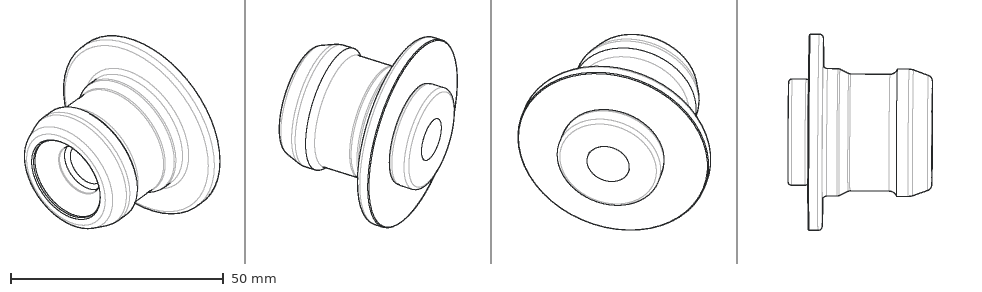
import cadquery as cq
import math

total_length = 33.8
flange_front = 25.7
flange_back = 29.0
collar_cone_start = 22.0
bead_back = 8.25
nose_start = 5.0

flange_radius = 23.1
collar_radius = 15.0
waist_radius = 13.75
spigot_radius = 12.5

nose_angle = 20.0
collar_cone_length = 2.5

flange_front_round = 1.0
flange_back_chamfer = 0.25
collar_root_round = 1.0
waist_blend = 1.0
nose_blend = 3.0
front_edge_round = 1.52
shoulder_round = 1.85
spigot_round = 0.85
relief_length = 0.75
relief_depth = 0.15
relief_land = 0.2

mouth_radius = 10.6
mouth_chamfer = 0.32
mouth_depth = 0.85
seat_radius = 6.25
bore_radius = 5.15
funnel_depth = 4.9
seat_depth = 6.85
seat_edge_round = 0.32
bore_start = 7.6

nose_radius = collar_radius - nose_start * math.tan(math.radians(nose_angle))
collar_cone_end = collar_cone_start - collar_cone_length
shoulder_rise = collar_radius - waist_radius
shoulder_length = math.sqrt(shoulder_round**2 - (shoulder_round - shoulder_rise) ** 2)
shoulder_start = bead_back + shoulder_length
shoulder_half_angle = math.asin(shoulder_length / shoulder_round) / 2
shoulder_mid = (
    waist_radius + shoulder_round * (1 - math.cos(shoulder_half_angle)),
    shoulder_start - shoulder_round * math.sin(shoulder_half_angle),
)


def revolve_profile(profile):
    """Revolve a closed XY profile about the Y axis."""
    return profile.close().revolve(360, (0, 0, 0), (0, 1, 0))


def round_rings(body, rings, size):
    """Fillet the circular edges lying at the given (radius, y) corners."""
    tolerance = 0.005
    for radius, y in rings:
        box = cq.selectors.BoxSelector(
            (-radius - tolerance, y - tolerance, -radius - tolerance),
            (radius + tolerance, y + tolerance, radius + tolerance),
            boundingbox=True,
        )
        body = body.edges(box).fillet(size)
    return body


def make_body():
    body = revolve_profile(
        cq.Workplane("XY")
        .moveTo(0, 0)
        .lineTo(nose_radius, 0)
        .lineTo(collar_radius, nose_start)
        .lineTo(collar_radius, bead_back)
        .threePointArc(shoulder_mid, (waist_radius, shoulder_start))
        .lineTo(waist_radius, collar_cone_end)
        .lineTo(collar_radius, collar_cone_start)
        .lineTo(collar_radius, flange_front)
        .lineTo(flange_radius, flange_front)
        .lineTo(flange_radius, flange_back - flange_back_chamfer)
        .lineTo(flange_radius - flange_back_chamfer, flange_back)
        .lineTo(spigot_radius - relief_depth, flange_back)
        .lineTo(spigot_radius - relief_depth, flange_back + relief_land)
        .lineTo(spigot_radius, flange_back + relief_length)
        .lineTo(spigot_radius, total_length)
        .lineTo(0, total_length)
    )
    body = round_rings(body, [(nose_radius, 0)], front_edge_round)
    body = round_rings(body, [(collar_radius, nose_start)], nose_blend)
    waist_corners = [(waist_radius, collar_cone_end), (collar_radius, collar_cone_start)]
    body = round_rings(body, waist_corners, waist_blend)
    body = round_rings(body, [(collar_radius, flange_front)], collar_root_round)
    body = round_rings(body, [(flange_radius, flange_front)], flange_front_round)
    return round_rings(body, [(spigot_radius, total_length)], spigot_round)


def make_bore():
    """Chamfered mouth, funnel, short cylindrical seat and a straight through hole."""
    bore = revolve_profile(
        cq.Workplane("XY")
        .moveTo(0, 0)
        .lineTo(mouth_radius, 0)
        .lineTo(mouth_radius - mouth_chamfer, mouth_chamfer)
        .lineTo(mouth_radius - mouth_chamfer, mouth_depth)
        .lineTo(seat_radius, funnel_depth)
        .lineTo(seat_radius, seat_depth)
        .lineTo(bore_radius, bore_start)
        .lineTo(bore_radius, total_length)
        .lineTo(0, total_length)
    )
    return round_rings(bore, [(seat_radius, funnel_depth)], seat_edge_round)


result = make_body().cut(make_bore()).translate((0, -total_length / 2, 0))